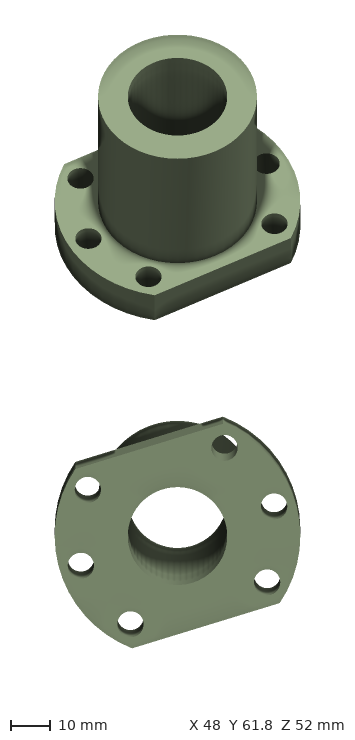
import cadquery as cq

flange_diameter = 61.8
flange_width = 48.0
flange_thickness = 10.0
body_diameter = 40.0
bore_diameter = 25.0
total_height = 52.0

hole_diameter = 6.6
hole_circle_radius = 25.45
hole_spacing_angle = 45
holes_per_end = 3
end_directions = (90, 270)

flange_disc = cq.Workplane("XY").circle(flange_diameter / 2).extrude(flange_thickness)
flat_limits = cq.Workplane("XY").rect(flange_width, flange_diameter).extrude(flange_thickness)
flange = flange_disc.intersect(flat_limits)

body = cq.Workplane("XY").circle(body_diameter / 2).extrude(total_height)
bore = cq.Workplane("XY").circle(bore_diameter / 2).extrude(total_height)
result = flange.union(body).cut(bore)

for direction in end_directions:
    first_angle = direction - hole_spacing_angle * (holes_per_end - 1) / 2
    holes = (
        cq.Workplane("XY")
        .polarArray(hole_circle_radius, first_angle, hole_spacing_angle, holes_per_end, fill=False)
        .circle(hole_diameter / 2)
        .extrude(flange_thickness)
    )
    result = result.cut(holes)